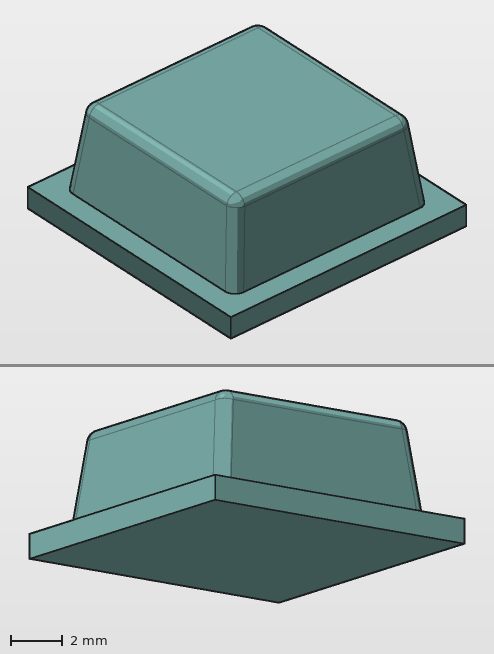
import cadquery as cq
import math

base_side = 12.0
base_height = 1.0

total_height = 5.0
cap_bottom_side = 10.0
cap_top_side = 9.0
cap_height = total_height - base_height
cap_draft = math.degrees(math.atan((cap_bottom_side - cap_top_side) / 2 / cap_height))
edge_radius = 0.5


def make_base():
    """Plain plate standing on the XY plane."""
    return cq.Workplane("XY").rect(base_side, base_side).extrude(base_height)


def make_cap():
    """Square frustum with rounded corner edges and a rounded top rim."""
    frustum = (
        cq.Workplane("XY")
        .workplane(offset=base_height)
        .rect(cap_bottom_side, cap_bottom_side)
        .extrude(cap_height, taper=cap_draft)
    )
    rounded_corners = frustum.edges("not #Z").fillet(edge_radius)
    return rounded_corners.faces(">Z").edges().fillet(edge_radius)


result = make_base().union(make_cap())